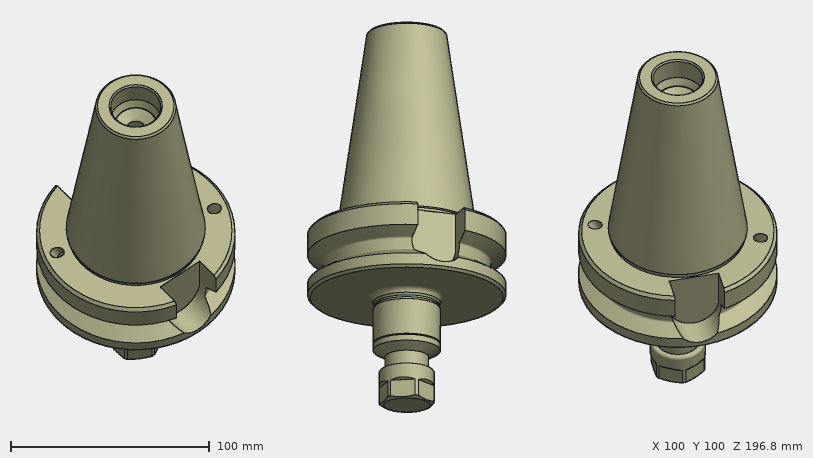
import cadquery as cq
import math

TOTAL_LENGTH = 196.8
TAPER_BASE_Z = 94.3
FLANGE_TOP_Z = 92.0
FLANGE_BOTTOM_Z = 57.0
V_GROOVE_MID_Z = 71.8
SHANK_BOTTOM_Z = 29.0
NUT_TOP_Z = 18.1

TAPER_BASE_RADIUS = 35.0
TAPER_RATIO = 7 / 48
TAPER_TIP_CHAMFER = 1.0
UNDERCUT_RADIUS = 34.5
UNDERCUT_STEP = 0.5

FLANGE_RADIUS = 50.0
FLANGE_TOP_CHAMFER = 1.5
FLANGE_BOTTOM_CHAMFER = 1.4
V_GROOVE_RADIUS = 42.3
V_GROOVE_FLOOR_WIDTH = 6.3
V_GROOVE_FILLET = 0.8
V_GROOVE_FLANK_ANGLE = 30

DRIVE_SLOT_WIDTH = 25.5
DRIVE_SLOT_BOTTOM_Z = 60.8
DRIVE_SLOT_FLOOR_X = 35.2

SHANK_RADIUS = 17.0
SHANK_FILLET = 2.8
RELIEF_RADIUS = 16.3
RELIEF_TOP_Z = 54.3
RELIEF_BOTTOM_Z = 51.0
RELIEF_FLOOR_WIDTH = 1.0
NECK_RADIUS = 11.0
SHANK_CONE_ANGLE = 30

SCORE_Z = 32.3
SCORE_WIDTH = 0.5
SCORE_DEPTH = 0.2

BORE_MOUTH_RADIUS = 13.4
BORE_MOUTH_CHAMFER = 0.8
BORE_RADIUS = 12.5
BORE_DEPTH = 11.6
THREAD_RADIUS = 10.5
BORE_CONE_ANGLE = 60
THREAD_DEPTH = 15.7
POINT_ANGLE = 30
PILOT_RADIUS = 4.7
PILOT_CHAMFER = 0.5
PILOT_LENGTH = 19.7
COOLANT_RADIUS = 1.8

PORT_CIRCLE_RADIUS = 42.0
PORT_ANGLES = (70, 250)
PORT_TILT = 27
PORT_RADIUS = 3.1
PORT_DEPTH = 6.7
PORT_DRILL_RADIUS = 2.0
PORT_DRILL_DEPTH = 17.7

NUT_RADIUS = 14.0
NUT_TOP_FILLET = 1.4
NUT_NOSE_CHAMFER_WIDTH = 2.4
NUT_NOSE_CHAMFER_HEIGHT = 1.2
HEX_ACROSS_FLATS = 25.0
HEX_HEIGHT = 9.5
HEX_RUNOUT_HEIGHT = 1.2
HEX_RUNOUT_ANGLE = 55


def slope_height(width, angle):
    """Height of a slope that covers a horizontal width at an angle from horizontal."""
    return width * math.tan(math.radians(angle))


def holder_blank():
    """Taper, flange and shank turned as one profile about the Z axis."""
    tip_chamfer_z = TOTAL_LENGTH - TAPER_TIP_CHAMFER
    tip_radius = TAPER_BASE_RADIUS - TAPER_RATIO * (tip_chamfer_z - TAPER_BASE_Z)
    groove_half = V_GROOVE_FLOOR_WIDTH / 2
    flank = slope_height(FLANGE_RADIUS - V_GROOVE_RADIUS, V_GROOVE_FLANK_ANGLE)
    relief_slope = (RELIEF_TOP_Z - RELIEF_BOTTOM_Z - RELIEF_FLOOR_WIDTH) / 2
    fillet_mid = SHANK_FILLET * (1 - math.sqrt(0.5))
    neck_top_z = SHANK_BOTTOM_Z - slope_height(SHANK_RADIUS - NECK_RADIUS, SHANK_CONE_ANGLE)
    return (
        cq.Workplane("XZ")
        .moveTo(0, TOTAL_LENGTH)
        .lineTo(tip_radius - TAPER_TIP_CHAMFER, TOTAL_LENGTH)
        .lineTo(tip_radius, tip_chamfer_z)
        .lineTo(TAPER_BASE_RADIUS, TAPER_BASE_Z)
        .lineTo(UNDERCUT_RADIUS, TAPER_BASE_Z - UNDERCUT_STEP)
        .lineTo(UNDERCUT_RADIUS, FLANGE_TOP_Z)
        .lineTo(FLANGE_RADIUS - FLANGE_TOP_CHAMFER, FLANGE_TOP_Z)
        .lineTo(FLANGE_RADIUS, FLANGE_TOP_Z - FLANGE_TOP_CHAMFER)
        .lineTo(FLANGE_RADIUS, V_GROOVE_MID_Z + groove_half + flank)
        .lineTo(V_GROOVE_RADIUS, V_GROOVE_MID_Z + groove_half)
        .lineTo(V_GROOVE_RADIUS, V_GROOVE_MID_Z - groove_half)
        .lineTo(FLANGE_RADIUS, V_GROOVE_MID_Z - groove_half - flank)
        .lineTo(FLANGE_RADIUS, FLANGE_BOTTOM_Z + FLANGE_BOTTOM_CHAMFER)
        .lineTo(FLANGE_RADIUS - FLANGE_BOTTOM_CHAMFER, FLANGE_BOTTOM_Z)
        .lineTo(SHANK_RADIUS + SHANK_FILLET, FLANGE_BOTTOM_Z)
        .threePointArc(
            (SHANK_RADIUS + fillet_mid, FLANGE_BOTTOM_Z - fillet_mid),
            (SHANK_RADIUS, FLANGE_BOTTOM_Z - SHANK_FILLET),
        )
        .lineTo(RELIEF_RADIUS, RELIEF_TOP_Z - relief_slope)
        .lineTo(RELIEF_RADIUS, RELIEF_BOTTOM_Z + relief_slope)
        .lineTo(SHANK_RADIUS, RELIEF_BOTTOM_Z)
        .lineTo(SHANK_RADIUS, SCORE_Z + SCORE_WIDTH / 2)
        .lineTo(SHANK_RADIUS - SCORE_DEPTH, SCORE_Z)
        .lineTo(SHANK_RADIUS, SCORE_Z - SCORE_WIDTH / 2)
        .lineTo(SHANK_RADIUS, SHANK_BOTTOM_Z)
        .lineTo(NECK_RADIUS, neck_top_z)
        .lineTo(NECK_RADIUS, NUT_TOP_Z)
        .lineTo(0, NUT_TOP_Z)
        .close()
        .revolve(360, (0, 0, 0), (0, 1, 0))
    )


def round_groove_corners(blank):
    """Rounds the two corners where the V groove's flanks meet its floor."""
    def on_groove_floor(edge):
        return edge.geomType() == "CIRCLE" and math.isclose(edge.radius(), V_GROOVE_RADIUS)

    return blank.edges().filter(on_groove_floor).fillet(V_GROOVE_FILLET)


def bore_cutter():
    """Stepped bore with a coned floor, a pilot hole and a coolant hole down to the nut."""
    bore_floor_z = TOTAL_LENGTH - BORE_DEPTH
    thread_top_z = bore_floor_z - slope_height(BORE_RADIUS - THREAD_RADIUS, BORE_CONE_ANGLE)
    thread_floor_z = TOTAL_LENGTH - THREAD_DEPTH
    pilot_mouth_radius = PILOT_RADIUS + PILOT_CHAMFER
    pilot_top_z = thread_floor_z - slope_height(THREAD_RADIUS - pilot_mouth_radius, POINT_ANGLE)
    pilot_floor_z = pilot_top_z - PILOT_LENGTH
    return (
        cq.Workplane("XZ")
        .moveTo(0, TOTAL_LENGTH)
        .lineTo(BORE_MOUTH_RADIUS, TOTAL_LENGTH)
        .lineTo(BORE_RADIUS, TOTAL_LENGTH - BORE_MOUTH_CHAMFER)
        .lineTo(BORE_RADIUS, bore_floor_z)
        .lineTo(THREAD_RADIUS, thread_top_z)
        .lineTo(THREAD_RADIUS, thread_floor_z)
        .lineTo(pilot_mouth_radius, pilot_top_z)
        .lineTo(PILOT_RADIUS, pilot_top_z - PILOT_CHAMFER)
        .lineTo(PILOT_RADIUS, pilot_floor_z)
        .lineTo(COOLANT_RADIUS, pilot_floor_z)
        .lineTo(COOLANT_RADIUS, NUT_TOP_Z)
        .lineTo(0, NUT_TOP_Z)
        .close()
        .revolve(360, (0, 0, 0), (0, 1, 0))
    )


def drive_slot_cutter():
    """Round-bottomed slot that runs outwards along +X and opens at the flange top."""
    round_z = DRIVE_SLOT_BOTTOM_Z + DRIVE_SLOT_WIDTH / 2
    length = FLANGE_RADIUS - DRIVE_SLOT_FLOOR_X
    return (
        cq.Workplane("YZ", origin=(DRIVE_SLOT_FLOOR_X, 0, 0))
        .moveTo(DRIVE_SLOT_WIDTH / 2, FLANGE_TOP_Z)
        .lineTo(DRIVE_SLOT_WIDTH / 2, round_z)
        .threePointArc((0, DRIVE_SLOT_BOTTOM_Z), (-DRIVE_SLOT_WIDTH / 2, round_z))
        .lineTo(-DRIVE_SLOT_WIDTH / 2, FLANGE_TOP_Z)
        .close()
        .extrude(length)
    )


def port_cutter():
    """Slanted port on the +X side, leaning towards the axis, with a narrower drilling below it."""
    tilt = math.radians(PORT_TILT)
    mouth = cq.Vector(PORT_CIRCLE_RADIUS, 0, FLANGE_TOP_Z)
    inward = cq.Vector(-math.sin(tilt), 0, -math.cos(tilt))
    start = mouth - inward * PORT_RADIUS
    port = cq.Solid.makeCylinder(PORT_RADIUS, PORT_RADIUS + PORT_DEPTH, start, inward)
    drilling = cq.Solid.makeCylinder(PORT_DRILL_RADIUS, PORT_DRILL_DEPTH, mouth, inward)
    return cq.Workplane(port.fuse(drilling))


def make_holder():
    body = round_groove_corners(holder_blank()).cut(bore_cutter())
    for angle in (0, 180):
        body = body.cut(drive_slot_cutter().rotate((0, 0, 0), (0, 0, 1), angle))
    for angle in PORT_ANGLES:
        body = body.cut(port_cutter().rotate((0, 0, 0), (0, 0, 1), angle))
    return body


def make_nut():
    """Round nut with six wrench flats on its lower part, two of them facing along Y."""
    body = (
        cq.Workplane("XZ")
        .moveTo(0, 0)
        .lineTo(NUT_RADIUS - NUT_NOSE_CHAMFER_WIDTH, 0)
        .lineTo(NUT_RADIUS, NUT_NOSE_CHAMFER_HEIGHT)
        .lineTo(NUT_RADIUS, NUT_TOP_Z)
        .lineTo(0, NUT_TOP_Z)
        .close()
        .revolve(360, (0, 0, 0), (0, 1, 0))
        .faces(">Z")
        .edges()
        .fillet(NUT_TOP_FILLET)
    )
    corner_diameter = HEX_ACROSS_FLATS / math.cos(math.pi / 6)
    hex_core = cq.Workplane("XY").polygon(6, corner_diameter).extrude(HEX_HEIGHT)
    runout = (
        cq.Workplane("XY", origin=(0, 0, HEX_HEIGHT))
        .polygon(6, corner_diameter)
        .extrude(HEX_RUNOUT_HEIGHT, taper=-HEX_RUNOUT_ANGLE)
    )
    around_hex = (
        cq.Workplane("XY")
        .circle(corner_diameter)
        .extrude(HEX_HEIGHT + HEX_RUNOUT_HEIGHT)
        .cut(hex_core)
        .cut(runout)
    )
    return body.cut(around_hex)


holder = make_holder()
nut = make_nut()

result = cq.Compound.makeCompound([holder.val(), nut.val()])